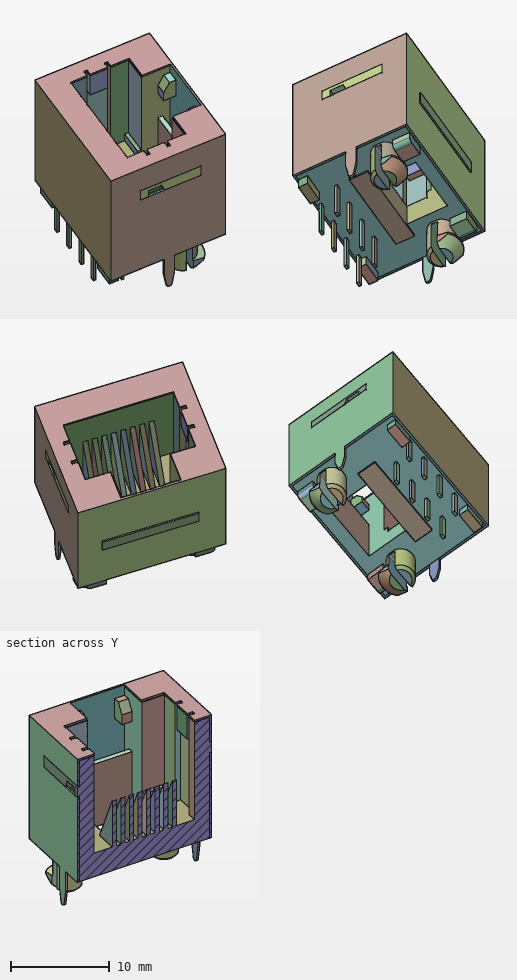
import cadquery as cq
import math

WIDTH = 15.9
DEPTH = 13.3
HEIGHT = 15.0
TOTAL_HEIGHT = 19.5
SHEET = 0.23

OPENING_HALF = 5.9
OPENING_FRONT = 3.02
SHIELD_OPENING_BACK = 9.8
CAVITY_BACK = 9.71
CAVITY_FLOOR = 2.92
LATCH_HALF = 3.22
LATCH_BACK = DEPTH - SHEET
THROUGH_FRONT = 6.92
THROUGH_BACK = 11.65

SLOT_WIDTH = 0.35
SLOT_DEPTH = 0.66
SLOT_CENTRES = (5.1, 7.49)
POCKET_TOP = 11.9

STEP_FRONT = 9.28
STEP_TOP = 3.9
LEDGE_TOP = 7.68
LEDGE_CREST = 12.2
LEDGE_BACK_DROP = 2.44
CATCH_INNER = 2.03
CATCH_TOP = 13.73
CATCH_SHOULDER = 12.32
CATCH_NOSE_TOP = 12.55
CATCH_BOTTOM = 11.35

CONTACT_COUNT = 8
CONTACT_PITCH = 1.01
CONTACT_WIDTH = 0.55
CONTACT_END = 6.35
CONTACT_RISE = 7.5

PIN_PITCH = 1.27
PIN_WIDTH = 0.53
PIN_THICK = 0.3
PIN_ROWS = (0.62, 3.18)
PIN_LENGTH = TOTAL_HEIGHT - HEIGHT

FOOT_INNER = 4.75
FOOT_OUTER = 7.2
FOOT_HEIGHT = 1.27
FRONT_FOOT = (0.23, 1.29)
BACK_FOOT = (11.05, 13.03)
BACK_FOOT_ROUND = 0.47
BACK_FOOT_OUTER = 6.86
RAIL_FRONT = 4.75
RAIL_HEIGHT = 0.23

PEG_X = 5.71
PEG_Y = 9.54
PEG_RADIUS = 1.5
PEG_LENGTH = 4.35
PEG_TIP_RADIUS = 1.15
HOOK_RADIUS = 2.26
HOOK_HALF_WIDTH = 1.58
HOOK_TOP = -2.77
HOOK_RIM_TOP = -2.98
PEG_SLOT_WIDTH = 0.75
PEG_SLOT_TOP = -0.3
PEG_SLOT_ROUND = 0.2

WINDOW_FRONT = 3.41
WINDOW_BACK = 10.41
WINDOW_BOTTOM = 10.35
WINDOW_TOP = 11.72
NOTCH_FRONT = 4.37
NOTCH_BACK = 6.42
NOTCH_BACK_TOP = 5.87
NOTCH_TOP = 11.23
NOTCH_BOTTOM = 9.79
NOTCH_DEPTH = 0.85

TAIL_Y = 6.79
TAIL_HALF = 0.6
TAIL_LENGTH = 4.35
TAIL_TAPER_START = -2.4
TAIL_TIP_START = -4.08
TAIL_TIP_HALF = 0.31
TAIL_FLARE = 0.12

PAD_HALF = 5.19
PAD_X = 0.18
PAD_BOTTOM = 6.42
PAD_TOP = 7.98
PAD_HEIGHT = 0.15

SIDES = (-1, 1)


def block(x0, x1, y0, y1, z0, z1):
    """Box between limits along x, y and z; the two x limits may come in either order."""
    size = (abs(x1 - x0), y1 - y0, z1 - z0)
    return cq.Workplane().box(*size, centered=False).translate((min(x0, x1), y0, z0))


def side_profile(points, x0, x1):
    """Closed (y, z) outline extruded between two x positions."""
    return cq.Workplane("YZ").polyline(points).close().extrude(x1 - x0).translate((x0, 0, 0))


def plug_opening(back, z0, z1):
    """Keyed plug shape: wide mouth, narrow latch channel and four side slots."""
    opening = block(-OPENING_HALF, OPENING_HALF, OPENING_FRONT, back, z0, z1)
    opening = opening.union(block(-LATCH_HALF, LATCH_HALF, back - 0.2, LATCH_BACK, z0, z1))
    slot_half = OPENING_HALF + SLOT_DEPTH
    for centre in SLOT_CENTRES:
        front = centre - SLOT_WIDTH / 2
        opening = opening.union(block(-slot_half, slot_half, front, front + SLOT_WIDTH, z0, z1))
    return opening


def window_tab(side):
    """Side tab that fills a window of the shield."""
    inner = side * (WIDTH / 2 - SHEET)
    outer = side * WIDTH / 2
    return block(inner, outer, WINDOW_FRONT, WINDOW_BACK, WINDOW_BOTTOM, WINDOW_TOP)


def window_notch(side):
    """Notch through a side tab into the wall behind, reaching below the window, with one sloped end."""
    outline = [
        (NOTCH_FRONT, NOTCH_BOTTOM),
        (NOTCH_BACK, NOTCH_BOTTOM),
        (NOTCH_BACK_TOP, NOTCH_TOP),
        (NOTCH_FRONT, NOTCH_TOP),
    ]
    ends = sorted((side * (WIDTH / 2 - NOTCH_DEPTH), side * WIDTH / 2))
    return side_profile(outline, *ends)


def cavity():
    """Space for the plug, the side pockets and the passage through the bottom."""
    space = plug_opening(CAVITY_BACK, CAVITY_FLOOR, HEIGHT)
    pocket_half = OPENING_HALF + SLOT_DEPTH
    space = space.union(
        block(-pocket_half, pocket_half, *SLOT_CENTRES, CAVITY_FLOOR, POCKET_TOP)
    )
    return space.union(
        block(-LATCH_HALF, LATCH_HALF, THROUGH_FRONT, THROUGH_BACK, 0, CAVITY_FLOOR)
    )


def latch_ledge():
    """Ledge behind the passage, with its top falling away towards the back."""
    outline = [
        (THROUGH_BACK, 0),
        (THROUGH_BACK, LEDGE_TOP),
        (LEDGE_CREST, LEDGE_TOP),
        (LATCH_BACK, LEDGE_TOP - LEDGE_BACK_DROP),
        (LATCH_BACK, 0),
    ]
    return side_profile(outline, -LATCH_HALF, LATCH_HALF)


def catch(side):
    """Ramped latch catch in a back corner of the latch channel."""
    outline = [
        (LATCH_BACK, CATCH_BOTTOM),
        (LATCH_BACK, CATCH_TOP),
        (CATCH_SHOULDER, CATCH_TOP),
        (THROUGH_BACK, CATCH_NOSE_TOP),
        (THROUGH_BACK, CATCH_BOTTOM),
    ]
    ends = sorted((side * CATCH_INNER, side * LATCH_HALF))
    return side_profile(outline, *ends)


def contact(index):
    """Ramp that falls from the front wall to the cavity floor."""
    x = (index - (CONTACT_COUNT - 1) / 2) * CONTACT_PITCH
    outline = [
        (OPENING_FRONT, CAVITY_FLOOR),
        (OPENING_FRONT, CAVITY_FLOOR + CONTACT_RISE),
        (CONTACT_END, CAVITY_FLOOR),
    ]
    return side_profile(outline, x - CONTACT_WIDTH / 2, x + CONTACT_WIDTH / 2)


def solder_pin(index):
    """Straight pin; odd and even pins stand in different rows."""
    x = (index - (CONTACT_COUNT - 1) / 2) * PIN_PITCH
    y = PIN_ROWS[index % 2]
    return cq.Workplane().box(PIN_WIDTH, PIN_THICK, PIN_LENGTH).translate((x, y, -PIN_LENGTH / 2))


def feet(side):
    """Square front foot and back foot with a rounded outer lower edge."""
    inner = side * FOOT_INNER
    outer = side * FOOT_OUTER
    front = block(inner, outer, *FRONT_FOOT, -FOOT_HEIGHT, 0)
    back = block(inner, side * BACK_FOOT_OUTER, *BACK_FOOT, -FOOT_HEIGHT, 0)
    outer_face = "<X" if side < 0 else ">X"
    back = back.faces(outer_face).edges("<Z").fillet(BACK_FOOT_ROUND)
    return front.union(back)


def turned(points):
    """Solid of revolution about the z axis from a (radius, z) outline."""
    return cq.Workplane("XZ").polyline(points).close().revolve(360, (0, 0), (0, 1))


def slot_root():
    """Material above the slot of a peg, with rounded upper slot corners."""
    half_slot = PEG_SLOT_WIDTH / 2
    half_length = math.sqrt(PEG_RADIUS**2 - half_slot**2)
    corner = PEG_SLOT_TOP - PEG_SLOT_ROUND
    return (
        cq.Workplane("YZ")
        .moveTo(-half_slot, 0)
        .lineTo(-half_slot, corner)
        .radiusArc((-half_slot + PEG_SLOT_ROUND, PEG_SLOT_TOP), PEG_SLOT_ROUND)
        .lineTo(half_slot - PEG_SLOT_ROUND, PEG_SLOT_TOP)
        .radiusArc((half_slot, corner), PEG_SLOT_ROUND)
        .lineTo(half_slot, 0)
        .close()
        .extrude(half_length, both=True)
    )


def snap_peg(side):
    """Split round peg: the front half is plain, the back half carries a barbed hook."""
    axis_ends = [(0, -PEG_LENGTH), (0, 0)]
    plain = turned([
        *axis_ends,
        (PEG_RADIUS, 0),
        (PEG_RADIUS, PEG_RADIUS - PEG_TIP_RADIUS - PEG_LENGTH),
        (PEG_TIP_RADIUS, -PEG_LENGTH),
    ])
    barbed = turned([
        *axis_ends,
        (PEG_RADIUS, 0),
        (PEG_RADIUS, HOOK_TOP),
        (HOOK_RADIUS, HOOK_RIM_TOP),
        (HOOK_RADIUS, HOOK_RADIUS - PEG_TIP_RADIUS - PEG_LENGTH),
        (PEG_TIP_RADIUS, -PEG_LENGTH),
    ])
    half_slot = PEG_SLOT_WIDTH / 2
    front_half = plain.intersect(
        block(-HOOK_HALF_WIDTH, HOOK_HALF_WIDTH, -HOOK_RADIUS, -half_slot, -PEG_LENGTH, 0)
    )
    back_half = barbed.intersect(
        block(-HOOK_HALF_WIDTH, HOOK_HALF_WIDTH, half_slot, HOOK_RADIUS, -PEG_LENGTH, 0)
    )
    peg = front_half.union(back_half).union(slot_root())
    return peg.translate((side * PEG_X, PEG_Y, 0))


def make_housing():
    """Insulating body with its contacts, pins, pegs and feet, inside the shield."""
    inner_half = WIDTH / 2 - SHEET
    body = block(-inner_half, inner_half, SHEET, DEPTH - SHEET, 0, HEIGHT - SHEET)
    body = body.cut(cavity()).union(latch_ledge())
    body = body.union(block(-FOOT_INNER, FOOT_INNER, RAIL_FRONT, THROUGH_FRONT, -RAIL_HEIGHT, 0))
    for side in SIDES:
        step_ends = (side * LATCH_HALF, side * OPENING_HALF)
        body = body.union(block(*step_ends, STEP_FRONT, CAVITY_BACK, CAVITY_FLOOR, STEP_TOP))
        body = body.union(window_tab(side)).cut(window_notch(side)).union(catch(side))
        body = body.union(feet(side)).union(snap_peg(side))
    for index in range(CONTACT_COUNT):
        body = body.union(contact(index)).union(solder_pin(index))
    return body


def ground_tail(side):
    """Tapered tail below a side wall, with flared corners and a rounded tip."""
    tail = (
        cq.Workplane("YZ")
        .moveTo(-TAIL_HALF - TAIL_FLARE, 0)
        .radiusArc((-TAIL_HALF, -TAIL_FLARE), TAIL_FLARE)
        .lineTo(-TAIL_HALF, TAIL_TAPER_START)
        .lineTo(-TAIL_TIP_HALF, TAIL_TIP_START)
        .threePointArc((0, -TAIL_LENGTH), (TAIL_TIP_HALF, TAIL_TIP_START))
        .lineTo(TAIL_HALF, TAIL_TAPER_START)
        .lineTo(TAIL_HALF, -TAIL_FLARE)
        .radiusArc((TAIL_HALF + TAIL_FLARE, 0), TAIL_FLARE)
        .close()
        .extrude(SHEET)
    )
    start = WIDTH / 2 - SHEET if side > 0 else -WIDTH / 2
    return tail.translate((start, TAIL_Y, 0))


def make_shield():
    """Sheet metal shell, open below, with the plug opening, windows and tails."""
    outer_half = WIDTH / 2
    inner_half = outer_half - SHEET
    inner_top = HEIGHT - SHEET
    shell = block(-outer_half, outer_half, 0, DEPTH, 0, HEIGHT)
    shell = shell.cut(block(-inner_half, inner_half, SHEET, DEPTH - SHEET, 0, inner_top))
    shell = shell.cut(plug_opening(SHIELD_OPENING_BACK, inner_top, HEIGHT))
    shell = shell.cut(
        block(-outer_half, outer_half, WINDOW_FRONT, WINDOW_BACK, WINDOW_BOTTOM, WINDOW_TOP)
    )
    pad_ends = (PAD_X - PAD_HALF, PAD_X + PAD_HALF)
    shell = shell.union(block(*pad_ends, DEPTH, DEPTH + PAD_HEIGHT, PAD_BOTTOM, PAD_TOP))
    for side in SIDES:
        shell = shell.union(ground_tail(side))
    return shell


housing = make_housing()
shield = make_shield()
result = cq.Compound.makeCompound([housing.solids().val(), shield.solids().val()])